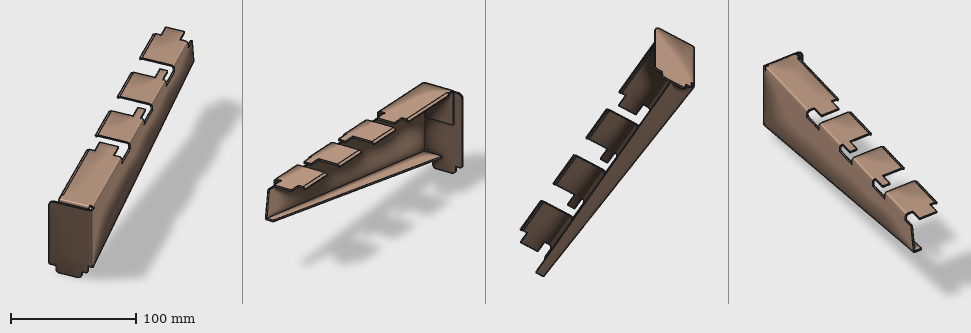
import cadquery as cq
import math


diagonal = math.sqrt(0.5)

width = 37.2
length = 231.0
height = 77.6
sheet = 1.5

end_bend_radius = 1.0
top_bend_radius = 1.5
end_bend_outer = end_bend_radius + sheet
top_bend_outer = top_bend_radius + sheet
web_inner_x = width - sheet

top_slope = math.radians(0.7)
tip_y = 228.7
flange_left_x = 7.9
lip_root_x = 9.5
lip_run = 2.3
lip_angle = 30.0
lip_start_y = 8.8
step_count = 4
step_pitch = 50.1
first_step_y = 68.0
step_length = 31.5
tab_length = 11.0
wide_tab_left_x = 13.9
wide_tab_width = 16.2
narrow_tab_left_x = 27.5
web_notch_depth = 6.5

taper = math.radians(8.5)
web_start_y = end_bend_outer
web_far_bottom_z = 46.0
bottom_width_near = 18.7
bottom_width_far = 7.6
bottom_bend_outer = 1.5
web_hole = (101.7, 58.7)
web_hole_diameter = 7.9

plate_top_z = 72.5
plate_right_x = 33.5
shoulder_z = 7.0
bend_bottom_z = 14.0
foot_left_x = 6.2
foot_right_x = 28.2
plate_top_fillet = 4.6
plate_bottom_fillet = 2.3
foot_fillet = 3.7
foot_root_fillet = 1.0
backing_bottom_z = 44.0
backing_right_x = 33.7
plate_hole_x = 17.5
plate_slot_z = 56.8
plate_slot_length = 19.5
plate_slot_width = 11.5
plate_hole_z = 28.9
plate_hole_diameter = 10.6
foot_slot_z = 5.8
foot_slot_length = 15.7
foot_slot_width = 2.5

slug_floor_z = 71.6
slot_x = 21.5
slot_width = 7.6
slot_length = 23.0
slot_inset = 3.5
hook_width = 7.0
hook_inset = 3.5
hook_reach = 4.5
near_hook_straight = 32.0
far_hook_straight = 20.3


def top_z(y):
    return height - (tip_y - y) * math.tan(top_slope)


def bottom_z(y):
    return web_far_bottom_z - (length - y) * math.tan(taper)


def step_far_y(index):
    return first_step_y + index * step_pitch


def box(x0, x1, y0, y1, z0, z1):
    return cq.Workplane("XY").box(x1 - x0, y1 - y0, z1 - z0, centered=False).translate((x0, y0, z0))


def extrude_along_top(profile, y0, y1):
    """Sweep an XZ profile, drawn relative to the top surface, from y0 to y1."""
    run = (y1 - y0) / math.cos(top_slope)
    level = profile.extrude(-run)
    sloped = level.rotate((0, 0, 0), (1, 0, 0), math.degrees(top_slope))
    return sloped.translate((0, y0, top_z(y0)))


def top_strip(x0, x1, y0, y1):
    profile = cq.Workplane("XZ").moveTo(x0, 0).lineTo(x1, 0).lineTo(x1, -sheet).lineTo(x0, -sheet).close()
    return extrude_along_top(profile, y0, y1)


def corner_strip(y0, y1):
    """Top sheet bent down into the upper rim of the web."""
    tangent_x = width - top_bend_outer
    profile = (
        cq.Workplane("XZ")
        .moveTo(lip_root_x, 0)
        .lineTo(tangent_x, 0)
        .threePointArc(
            (tangent_x + top_bend_outer * diagonal, top_bend_outer * (diagonal - 1)),
            (width, -top_bend_outer),
        )
        .lineTo(width, -web_notch_depth)
        .lineTo(web_inner_x, -web_notch_depth)
        .lineTo(web_inner_x, -top_bend_outer)
        .threePointArc(
            (tangent_x + top_bend_radius * diagonal, top_bend_radius * diagonal - top_bend_outer),
            (tangent_x, -sheet),
        )
        .lineTo(lip_root_x, -sheet)
        .close()
    )
    return extrude_along_top(profile, y0, y1)


def lip(y0, y1):
    angle = math.radians(lip_angle)
    drop = lip_run * math.tan(angle)
    tip_x = lip_root_x - lip_run
    profile = (
        cq.Workplane("XZ")
        .moveTo(lip_root_x, 0)
        .lineTo(tip_x, -drop)
        .lineTo(tip_x + sheet * math.sin(angle), -drop - sheet * math.cos(angle))
        .lineTo(lip_root_x + sheet * math.tan(angle / 2), -sheet)
        .close()
    )
    return extrude_along_top(profile, y0, y1)


def top_flange():
    start_y = sheet + end_bend_outer
    body = top_strip(flange_left_x, backing_right_x, start_y, lip_start_y)
    for index in range(step_count):
        far_y = step_far_y(index)
        sheet_near_y = far_y - step_length if index > 0 else start_y
        lip_near_y = far_y - step_length if index > 0 else lip_start_y
        body = body.union(corner_strip(sheet_near_y, far_y)).union(lip(lip_near_y, far_y))
        if index in (0, step_count - 1):
            left_x, right_x = wide_tab_left_x, wide_tab_left_x + wide_tab_width
        else:
            left_x, right_x = narrow_tab_left_x, width - top_bend_outer
        tab_end = tip_y if index == step_count - 1 else far_y + tab_length
        body = body.union(top_strip(left_x, right_x, far_y - sheet, tab_end))
    return body


def web():
    far_top_y = length - (top_z(length) - web_notch_depth - web_far_bottom_z) * math.tan(taper)
    outline = (
        cq.Workplane("YZ")
        .moveTo(web_start_y, bottom_z(web_start_y))
        .lineTo(length, web_far_bottom_z)
        .lineTo(far_top_y, top_z(far_top_y) - web_notch_depth)
        .lineTo(web_start_y, top_z(web_start_y) - web_notch_depth)
        .close()
    )
    return outline.extrude(sheet).translate((web_inner_x, 0, 0))


def bottom_flange():
    """Strip along the tapered edge, narrowing towards the far end."""
    far_y = length - sheet * math.sin(taper)
    side = (
        cq.Workplane("YZ")
        .moveTo(web_start_y, bottom_z(web_start_y))
        .lineTo(length, web_far_bottom_z)
        .lineTo(far_y, web_far_bottom_z + sheet * math.cos(taper))
        .lineTo(web_start_y, bottom_z(web_start_y) + sheet / math.cos(taper))
        .close()
        .extrude(width)
    )
    plan = (
        cq.Workplane("XY")
        .moveTo(width, web_start_y)
        .lineTo(width - bottom_width_near, web_start_y)
        .lineTo(width - bottom_width_far, length)
        .lineTo(width, length)
        .close()
        .extrude(height)
    )
    return side.intersect(plan)


def tapered_angle():
    """Web and bottom flange, rounded along their common outer edge."""
    angle = web().union(bottom_flange())
    return angle.edges(">X").edges("<Z").fillet(bottom_bend_outer)


def end_plate():
    plate = box(0, plate_right_x, 0, sheet, shoulder_z, plate_top_z)
    plate = plate.edges("|Y and <X and >Z").fillet(plate_top_fillet)
    plate = plate.edges("|Y and <Z").fillet(plate_bottom_fillet)
    foot = box(foot_left_x, foot_right_x, 0, sheet, 0, shoulder_z + sheet)
    foot = foot.edges("|Y and <Z").fillet(foot_fillet)
    plate = plate.union(foot)
    roots = cq.selectors.BoxSelector(
        (foot_left_x - sheet, -sheet, shoulder_z - sheet / 2),
        (foot_right_x + sheet, 2 * sheet, shoulder_z + sheet / 2),
    )
    return plate.edges("|Y").edges(roots).fillet(foot_root_fillet)


def end_bend():
    """Quarter bend joining the end plate to the web."""
    tangent_x = width - end_bend_outer
    profile = (
        cq.Workplane("XY")
        .moveTo(plate_right_x - sheet, 0)
        .lineTo(tangent_x, 0)
        .threePointArc(
            (tangent_x + end_bend_outer * diagonal, end_bend_outer * (1 - diagonal)),
            (width, end_bend_outer),
        )
        .lineTo(width, end_bend_outer + 2 * sheet)
        .lineTo(web_inner_x, end_bend_outer + 2 * sheet)
        .lineTo(web_inner_x, end_bend_outer)
        .threePointArc(
            (tangent_x + end_bend_radius * diagonal, end_bend_outer - end_bend_radius * diagonal),
            (tangent_x, sheet),
        )
        .lineTo(plate_right_x - sheet, sheet)
        .close()
    )
    return profile.extrude(plate_top_z - bend_bottom_z).translate((0, 0, bend_bottom_z))


def backing_flange():
    """End of the top flange, bent down against the inside of the end plate."""
    tangent_y = sheet + end_bend_outer
    surface_z = top_z(tangent_y)
    centre_z = surface_z - end_bend_outer
    profile = (
        cq.Workplane("YZ")
        .moveTo(tangent_y + sheet, top_z(tangent_y + sheet))
        .lineTo(tangent_y, surface_z)
        .threePointArc(
            (tangent_y - end_bend_outer * diagonal, centre_z + end_bend_outer * diagonal),
            (sheet, centre_z),
        )
        .lineTo(sheet, backing_bottom_z)
        .lineTo(2 * sheet, backing_bottom_z)
        .lineTo(2 * sheet, centre_z)
        .threePointArc(
            (tangent_y - end_bend_radius * diagonal, centre_z + end_bend_radius * diagonal),
            (tangent_y, surface_z - sheet),
        )
        .lineTo(tangent_y + sheet, top_z(tangent_y + sheet) - sheet)
        .close()
    )
    return profile.extrude(backing_right_x - flange_left_x).translate((flange_left_x, 0, 0))


def vertical_slot(far_y):
    slot = cq.Workplane("XY").center(slot_x, far_y - slot_length / 2).slot2D(slot_length, slot_width, 90)
    return slot.extrude(height).translate((0, 0, slug_floor_z))


def hooked_slot(far_y, straight):
    """Slot along Y whose near end turns 45 degrees towards the free side."""
    radius = hook_width / 2
    elbow_y = far_y - radius - straight
    left_x = slot_x - radius
    right_x = slot_x + radius
    arc_mid = math.radians(45) / 2
    inner_end = (left_x - hook_reach * diagonal, elbow_y - hook_reach * diagonal)
    outer_start = (left_x + hook_width * diagonal, elbow_y - hook_width * diagonal)
    outer_end = (outer_start[0] - hook_reach * diagonal, outer_start[1] - hook_reach * diagonal)
    cap_centre = ((inner_end[0] + outer_end[0]) / 2, (inner_end[1] + outer_end[1]) / 2)
    outline = (
        cq.Workplane("XY")
        .moveTo(left_x, elbow_y)
        .lineTo(left_x, elbow_y + straight)
        .threePointArc((slot_x, far_y), (right_x, elbow_y + straight))
        .lineTo(right_x, elbow_y)
        .threePointArc(
            (left_x + hook_width * math.cos(arc_mid), elbow_y - hook_width * math.sin(arc_mid)),
            outer_start,
        )
        .lineTo(*outer_end)
        .threePointArc(
            (cap_centre[0] - radius * diagonal, cap_centre[1] - radius * diagonal),
            inner_end,
        )
        .close()
    )
    return outline.extrude(height).translate((0, 0, slug_floor_z))


def end_plate_slugs():
    depth = -2 * sheet
    upper = cq.Workplane("XZ").center(plate_hole_x, plate_slot_z)
    upper = upper.slot2D(plate_slot_length, plate_slot_width, 90).extrude(depth)
    lower = cq.Workplane("XZ").center(plate_hole_x, plate_hole_z)
    lower = lower.circle(plate_hole_diameter / 2).extrude(depth)
    foot = cq.Workplane("XZ").center(plate_hole_x, foot_slot_z)
    foot = foot.rect(foot_slot_length, foot_slot_width).extrude(depth)
    return upper.union(lower).union(foot)


def web_slug():
    disc = cq.Workplane("YZ").center(*web_hole).circle(web_hole_diameter / 2)
    return disc.extrude(sheet).translate((web_inner_x, 0, 0))


def slug_cutters():
    cutters = end_plate_slugs().union(web_slug())
    near_tab_tip = step_far_y(0) + tab_length
    cutters = cutters.union(hooked_slot(near_tab_tip - hook_inset, near_hook_straight))
    for index in range(1, step_count - 1):
        cutters = cutters.union(vertical_slot(step_far_y(index) - slot_inset))
    return cutters.union(hooked_slot(tip_y - hook_inset, far_hook_straight))


bracket = (
    top_flange()
    .union(tapered_angle())
    .union(end_plate())
    .union(end_bend())
    .union(backing_flange())
)

cutters = slug_cutters()
slugs = bracket.intersect(cutters)
result = bracket.cut(cutters).union(slugs, clean=False)